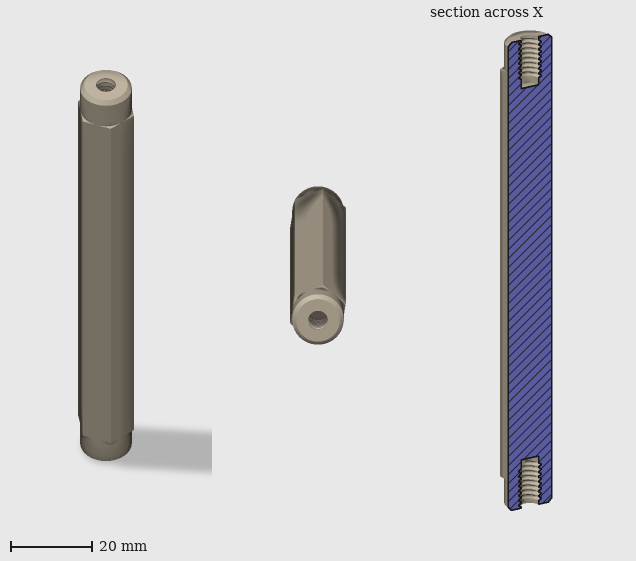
import cadquery as cq
import math

across_flats = 12.7
across_corners = across_flats / math.cos(math.pi / 6)

total_length = 123.26
spigot_diameter = across_flats
spigot_length = 8.0
spigot_chamfer = 1.0
hex_length = total_length - 2 * spigot_length

thread_major_diameter = 6.35
thread_pitch = 1.27
thread_minor_diameter = 4.85
thread_half_angle = math.radians(30)
root_flat = thread_pitch / 8
hole_depth = across_flats
thread_turns = 8
thread_length = thread_turns * thread_pitch
bore_overlap = 0.1
face_clearance = 0.03


def spigot_core():
    """Round bar over the full length, chamfered at both ends."""
    core = cq.Workplane("XY").circle(spigot_diameter / 2).extrude(total_length / 2, both=True)
    return core.faces("|Z").chamfer(spigot_chamfer)


def hex_body():
    """Hexagonal grip centred on the origin, with two corners on the X axis."""
    return cq.Workplane("XY").polygon(6, across_corners).extrude(hex_length / 2, both=True)


def thread_groove():
    """Right-handed V groove that winds up to its end on the -X side, just below the top face."""
    root_radius = thread_major_diameter / 2
    inner_radius = thread_minor_diameter / 2 - bore_overlap
    half_root = root_flat / 2
    half_mouth = half_root + (root_radius - inner_radius) * math.tan(thread_half_angle)
    start_z = total_length / 2 - face_clearance - half_mouth - thread_length

    path = cq.Wire.makeHelix(thread_pitch, thread_length, root_radius)
    profile = cq.Workplane("XZ").polyline([
        (inner_radius, -half_mouth),
        (root_radius, -half_root),
        (root_radius, half_root),
        (inner_radius, half_mouth),
    ]).close()
    groove = profile.sweep(cq.Workplane(path), isFrenet=True)
    return groove.rotate((0, 0, 0), (0, 0, 1), 180).translate((0, 0, start_z))


def top_bore():
    """Plain blind bore at the thread's minor diameter, down from the top face."""
    bore = cq.Workplane("XY").workplane(offset=total_length / 2)
    return bore.circle(thread_minor_diameter / 2).extrude(-hole_depth)


result = hex_body().union(spigot_core())
for flip_angle in (0, 180):
    for cutter in (top_bore(), thread_groove()):
        result = result.cut(cutter.rotate((0, 0, 0), (0, 1, 0), flip_angle))